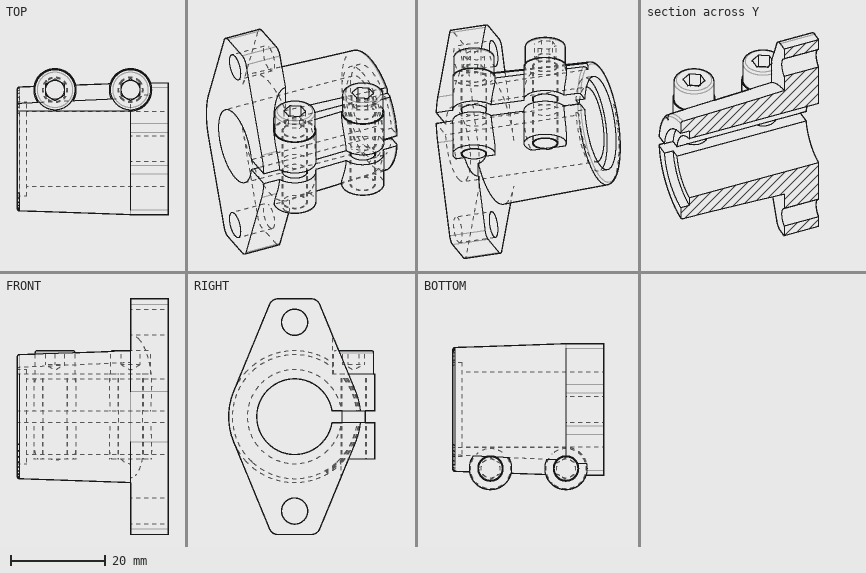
import cadquery as cq
import math

total_length = 32.0
flange_thickness = 8.0
sleeve_length = total_length - flange_thickness

sleeve_end_radius = 14.0
draft_angle = 2.0
sleeve_tip_radius = sleeve_end_radius - sleeve_length * math.tan(math.radians(draft_angle))
tip_fillet = 0.5
bore_diameter = 16.0
recess_diameter = 20.0
recess_depth = 2.0

flange_height = 50.0
flange_corner_half_width = 4.83
flange_corner_fillet = 2.0
mount_hole_diameter = 5.5
mount_hole_spacing = 40.0

slot_width = 2.5
lug_radius = 4.5
lug_half_height = 9.0
screw_y = 12.5
screw_x_positions = (8.0, sleeve_length)
lug_root_y = screw_y - lug_radius
screw_hole_diameter = 5.4

screw_diameter = 5.0
screw_length = 2 * lug_half_height
head_diameter = 8.5
head_height = 5.0
head_fillet = 0.5
socket_sides = 6
socket_width = 4.0
socket_depth = 3.0
socket_tip_angle = 120.0


def make_sleeve():
    """Tapered tube body, still solid, with a rounded rim at the open end."""
    sleeve = (
        cq.Workplane("XY")
        .polyline([
            (0, 0),
            (0, sleeve_tip_radius),
            (sleeve_length, sleeve_end_radius),
            (sleeve_length, 0),
        ])
        .close()
        .revolve(360, (0, 0, 0), (1, 0, 0))
    )
    return sleeve.faces("<X").edges().fillet(tip_fillet)


def make_flange():
    """Diamond-shaped plate whose slanted sides are tangent to the sleeve circle."""
    half_height = flange_height / 2
    corner_angle = math.atan2(half_height, flange_corner_half_width)
    corner_distance = math.hypot(half_height, flange_corner_half_width)
    tangent_angle = corner_angle - math.acos(sleeve_end_radius / corner_distance)
    tangent_y = sleeve_end_radius * math.cos(tangent_angle)
    tangent_z = sleeve_end_radius * math.sin(tangent_angle)
    flange = (
        cq.Workplane("YZ", origin=(sleeve_length, 0, 0))
        .moveTo(tangent_y, -tangent_z)
        .threePointArc((sleeve_end_radius, 0), (tangent_y, tangent_z))
        .lineTo(flange_corner_half_width, half_height)
        .lineTo(-flange_corner_half_width, half_height)
        .lineTo(-tangent_y, tangent_z)
        .threePointArc((-sleeve_end_radius, 0), (-tangent_y, -tangent_z))
        .lineTo(-flange_corner_half_width, -half_height)
        .lineTo(flange_corner_half_width, -half_height)
        .close()
        .extrude(flange_thickness)
    )
    flange = flange.faces(">Z or <Z").edges("|X").fillet(flange_corner_fillet)
    mount_holes = (
        cq.Workplane("YZ", origin=(sleeve_length, 0, 0))
        .pushPoints([(0, -mount_hole_spacing / 2), (0, mount_hole_spacing / 2)])
        .circle(mount_hole_diameter / 2)
        .extrude(flange_thickness)
    )
    return flange.cut(mount_holes)


def make_lug(screw_x):
    """Round post around a screw, partly sunk into the sleeve wall."""
    return (
        cq.Workplane("XY", origin=(screw_x, screw_y, -lug_half_height))
        .circle(lug_radius)
        .extrude(2 * lug_half_height)
    )


def make_head_clearance():
    """Space above the lugs: a step along the sleeve and a round pocket at each screw."""
    clearance_height = flange_height / 2 - lug_half_height
    clearance = cq.Workplane("XY", origin=(0, lug_root_y, lug_half_height)).box(
        sleeve_length, sleeve_end_radius - lug_root_y, clearance_height, centered=False
    )
    pockets = (
        cq.Workplane("XY", origin=(0, screw_y, lug_half_height))
        .pushPoints([(x, 0) for x in screw_x_positions])
        .circle(lug_radius)
        .extrude(clearance_height)
    )
    return clearance.union(pockets)


def make_bore():
    """Through bore with the shallow recess at the open end."""
    bore = cq.Workplane("YZ").circle(bore_diameter / 2).extrude(total_length)
    recess = cq.Workplane("YZ").circle(recess_diameter / 2).extrude(recess_depth)
    return bore.union(recess)


def make_housing():
    housing = make_sleeve().union(make_flange())
    for screw_x in screw_x_positions:
        housing = housing.union(make_lug(screw_x))
    housing = housing.cut(make_head_clearance())
    housing = housing.cut(make_bore())

    slot_outer_y = screw_y + lug_radius
    slot = cq.Workplane("XY", origin=(0, 0, -slot_width / 2)).box(
        total_length, slot_outer_y, slot_width, centered=False
    )
    housing = housing.cut(slot)

    screw_holes = (
        cq.Workplane("XY", origin=(0, screw_y, -flange_height / 2))
        .pushPoints([(x, 0) for x in screw_x_positions])
        .circle(screw_hole_diameter / 2)
        .extrude(flange_height)
    )
    return housing.cut(screw_holes)


def make_screw(screw_x):
    """Socket head cap screw, head resting on top of its lug."""
    head = cq.Workplane("XY").circle(head_diameter / 2).extrude(head_height)
    head = head.faces(">Z").edges().fillet(head_fillet)
    shank = cq.Workplane("XY").circle(screw_diameter / 2).extrude(-screw_length)

    socket_corner_diameter = socket_width / math.cos(math.pi / socket_sides)
    socket = (
        cq.Workplane("XY", origin=(0, 0, head_height))
        .transformed(rotate=(0, 0, 90))
        .polygon(socket_sides, socket_corner_diameter)
        .extrude(-socket_depth)
    )
    tip_radius = socket_width / 2
    tip_height = tip_radius / math.tan(math.radians(socket_tip_angle / 2))
    socket_floor = head_height - socket_depth
    socket_tip = cq.Workplane(
        cq.Solid.makeCone(tip_radius, 0, tip_height, cq.Vector(0, 0, socket_floor), cq.Vector(0, 0, -1))
    )
    screw = head.union(shank).cut(socket).cut(socket_tip)
    return screw.translate((screw_x, screw_y, lug_half_height))


housing = make_housing()
screws = [make_screw(screw_x) for screw_x in screw_x_positions]

result = cq.Compound.makeCompound([housing.solids().val(), *[screw.solids().val() for screw in screws]])